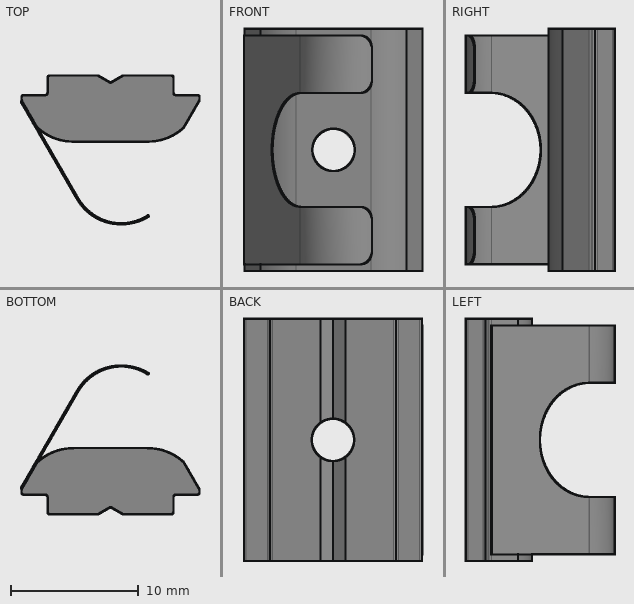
import cadquery as cq
import math

body_length = 19.0
body_half_width = 7.0
body_depth = 5.2
tab_half_width = 4.94
tab_height = 1.54
flat_half_width = 2.93
shoulder_x = 5.74
shoulder_radius = 4.15
flank_angle = math.radians(60)
groove_half_width = 0.99
groove_depth = 0.57
small_radius = 0.19
flank_corner_radius = 0.4
hole_diameter = 3.3

sheet_thickness = 0.1
sheet_margin = 0.53
spring_start_x = -6.95
spring_front_y = -11.68
bend_radius = 3.99
leg_end_angle = math.radians(33)
window_radius = 4.46
leg_corner_radius = 0.99

shoulder_sweep = math.asin((shoulder_x - flat_half_width) / shoulder_radius)
shoulder_y = -body_depth + shoulder_radius * (1 - math.cos(shoulder_sweep))
flank_slope = math.tan(flank_angle)
cutter_reach = 1.9


def flank_y(x):
    """Y of the flank line at a distance x from the middle plane."""
    return shoulder_y + (x - shoulder_x) * flank_slope


def make_body():
    side_y = flank_y(body_half_width)
    half_sweep = shoulder_sweep / 2
    arc_x = flat_half_width + shoulder_radius * math.sin(half_sweep)
    arc_y = -body_depth + shoulder_radius * (1 - math.cos(half_sweep))

    body = (
        cq.Workplane("XY")
        .moveTo(0, -groove_depth)
        .lineTo(groove_half_width, 0)
        .lineTo(tab_half_width, 0)
        .lineTo(tab_half_width, -tab_height)
        .lineTo(body_half_width, -tab_height)
        .lineTo(body_half_width, side_y)
        .lineTo(shoulder_x, shoulder_y)
        .threePointArc((arc_x, arc_y), (flat_half_width, -body_depth))
        .lineTo(-flat_half_width, -body_depth)
        .threePointArc((-arc_x, arc_y), (-shoulder_x, shoulder_y))
        .lineTo(-body_half_width, side_y)
        .lineTo(-body_half_width, -tab_height)
        .lineTo(-tab_half_width, -tab_height)
        .lineTo(-tab_half_width, 0)
        .lineTo(-groove_half_width, 0)
        .close()
        .extrude(body_length)
    )
    for x, y, radius in (
        (tab_half_width, 0, small_radius),
        (tab_half_width, -tab_height, small_radius),
        (body_half_width, -tab_height, small_radius),
        (body_half_width, side_y, flank_corner_radius),
    ):
        for side in (-1, 1):
            corner = cq.selectors.NearestToPointSelector((side * x, y, body_length / 2))
            body = body.edges(corner).fillet(radius)

    hole = (
        cq.Workplane("XZ")
        .center(0, body_length / 2)
        .circle(hole_diameter / 2)
        .extrude(body_depth)
    )
    return body.cut(hole)


def make_spring():
    start = (spring_start_x, flank_y(-spring_start_x))
    outward = (-math.sin(flank_angle), -math.cos(flank_angle))
    outer_start = tuple(p + sheet_thickness * n for p, n in zip(start, outward))
    inner_radius = bend_radius - sheet_thickness

    center_y = spring_front_y + bend_radius
    bend_y = center_y + bend_radius * outward[1]
    bend_x = outer_start[0] + (outer_start[1] - bend_y) / flank_slope
    center_x = bend_x - bend_radius * outward[0]

    def on_bend(radius, angle):
        """Point on the bend, with the angle taken from its frontmost point."""
        return (center_x + radius * math.sin(angle), center_y - radius * math.cos(angle))

    spring = (
        cq.Workplane("XY", origin=(0, 0, sheet_margin))
        .moveTo(*outer_start)
        .lineTo(bend_x, bend_y)
        .threePointArc(on_bend(bend_radius, 0), on_bend(bend_radius, leg_end_angle))
        .lineTo(*on_bend(inner_radius, leg_end_angle))
        .threePointArc(on_bend(inner_radius, 0), on_bend(inner_radius, -flank_angle))
        .lineTo(*start)
        .close()
        .extrude(body_length - 2 * sheet_margin)
    )

    window_plane = cq.Plane(
        origin=(bend_x, bend_y, body_length / 2),
        xDir=(0, 0, 1),
        normal=(outward[0], outward[1], 0),
    )
    round_end = (
        cq.Workplane(window_plane)
        .circle(window_radius)
        .extrude(cutter_reach, both=True)
    )
    leg_gap = (
        cq.Workplane("XY", origin=(0, 0, body_length / 2))
        .moveTo(center_x, center_y)
        .lineTo(*on_bend(2 * bend_radius, -flank_angle))
        .threePointArc(on_bend(2 * bend_radius, 0), on_bend(2 * bend_radius, flank_angle))
        .close()
        .extrude(window_radius, both=True)
    )
    spring = spring.cut(round_end).cut(leg_gap)

    leg_width = body_length / 2 - sheet_margin - window_radius
    leg_offset = window_radius + leg_width / 2
    for side in (-1, 1):
        tip_plane = cq.Plane(
            origin=(*on_bend(bend_radius, leg_end_angle), body_length / 2 + side * leg_offset),
            xDir=(math.cos(leg_end_angle), math.sin(leg_end_angle), 0),
            normal=(math.sin(leg_end_angle), -math.cos(leg_end_angle), 0),
        )
        tip_block = (
            cq.Workplane(tip_plane)
            .center(-leg_corner_radius / 2, 0)
            .rect(leg_corner_radius, leg_width)
            .extrude(cutter_reach / 2, both=True)
        )
        rounded_leg = (
            cq.Workplane(tip_plane)
            .center(-leg_width / 2, 0)
            .rect(leg_width, leg_width)
            .extrude(cutter_reach, both=True)
            .edges(cq.selectors.ParallelDirSelector(tip_plane.zDir))
            .fillet(leg_corner_radius)
        )
        spring = spring.cut(tip_block.cut(rounded_leg))
    return spring


result = make_body().union(make_spring())